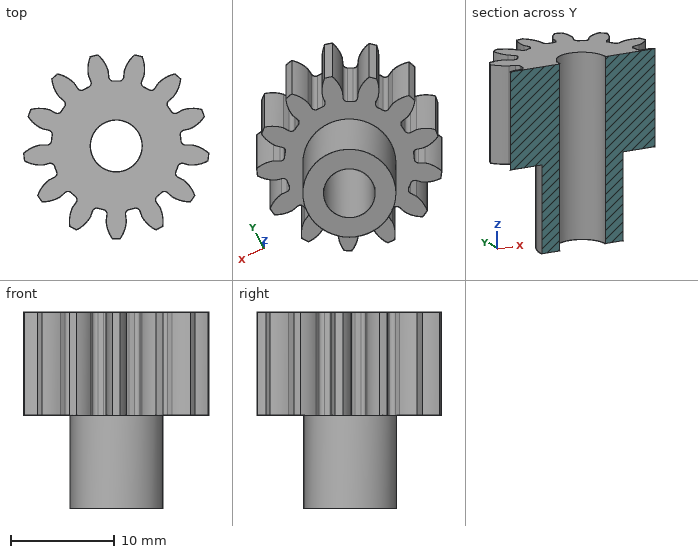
import cadquery as cq
import math

total_height = 19.0
gear_height = 10.0
hub_diameter = 9.0
bore_diameter = 5.0
tooth_count = 13
tip_diameter = 18.0
pressure_angle = math.radians(20)
root_depth_factor = 1.25
root_fillet = 0.42
first_tooth_angle = -90.0

module = tip_diameter / (tooth_count + 2)
pitch_radius = module * tooth_count / 2
base_radius = pitch_radius * math.cos(pressure_angle)
tip_radius = tip_diameter / 2
root_radius = pitch_radius - root_depth_factor * module
hub_height = total_height - gear_height
flank_middle_radius = (base_radius + tip_radius) / 2
corner_tolerance = 0.02
root_overlap = 0.38


def polar(radius, angle):
    return (radius * math.cos(angle), radius * math.sin(angle))


def mirrored(point):
    """The same point on the other side of the tooth."""
    return (point[0], -point[1])


def involute_angle(radius):
    """Polar angle swept by the involute from the base circle to a radius."""
    roll = math.sqrt((radius / base_radius) ** 2 - 1)
    return roll - math.atan(roll)


def half_tooth_angle(radius):
    """Half of the angle that a tooth covers at a radius."""
    half_at_pitch = math.pi / (2 * tooth_count)
    return half_at_pitch + involute_angle(pitch_radius) - involute_angle(radius)


def tooth():
    """One tooth along +X: each flank is an arc through three points of the involute outline."""
    flank_start = polar(base_radius, half_tooth_angle(base_radius))
    flank_middle = polar(flank_middle_radius, half_tooth_angle(flank_middle_radius))
    flank_end = polar(tip_radius, half_tooth_angle(tip_radius))
    foot = polar(root_radius - root_overlap, half_tooth_angle(base_radius))
    return (
        cq.Workplane("XY", origin=(0, 0, hub_height))
        .moveTo(*foot)
        .lineTo(*flank_start)
        .threePointArc(flank_middle, flank_end)
        .threePointArc((tip_radius, 0), mirrored(flank_end))
        .threePointArc(mirrored(flank_middle), mirrored(flank_start))
        .lineTo(*mirrored(foot))
        .close()
        .extrude(gear_height)
    )


def toothed_wheel():
    wheel = cq.Workplane("XY", origin=(0, 0, hub_height)).circle(root_radius).extrude(gear_height)
    for i in range(tooth_count):
        angle = first_tooth_angle + i * 360 / tooth_count
        wheel = wheel.union(tooth().rotate((0, 0, 0), (0, 0, 1), angle))
    return wheel


def round_root_corners(wheel):
    """Round the inner corners between the tooth feet and the root circle."""
    root_corners = [
        edge
        for edge in wheel.edges("|Z").vals()
        if math.hypot(edge.Center().x, edge.Center().y) < root_radius + corner_tolerance
    ]
    return wheel.newObject(root_corners).fillet(root_fillet)


hub = cq.Workplane("XY").circle(hub_diameter / 2).extrude(hub_height)
bore = cq.Workplane("XY").circle(bore_diameter / 2).extrude(total_height)
result = round_root_corners(toothed_wheel()).union(hub).cut(bore)